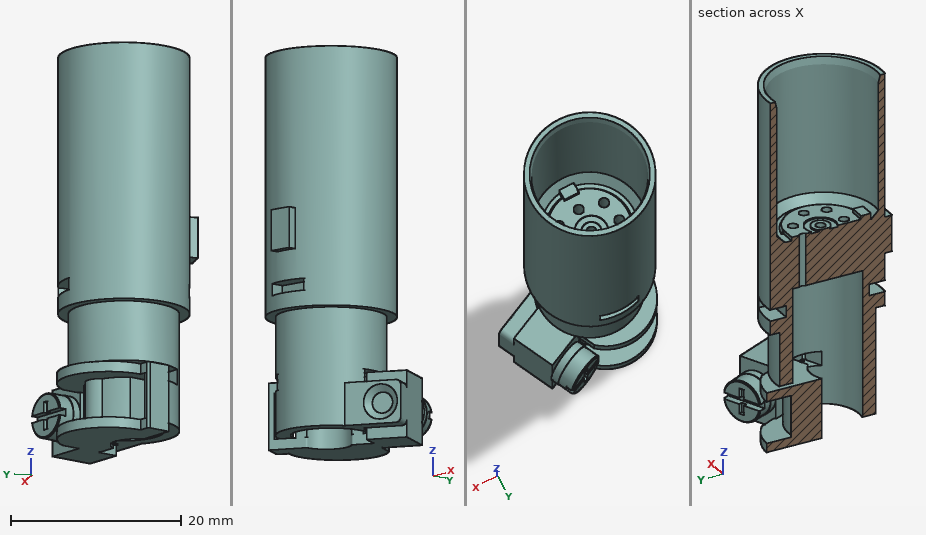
import cadquery as cq
import math

TOTAL_HEIGHT = 46.5
BARREL_RADIUS = 15.5 / 2
BARREL_BOTTOM = 15.55
NECK_RADIUS = 13.05 / 2
NECK_BOTTOM = 1.4
NECK_BORE_RADIUS = 4.75

MOUTH_RADIUS = 7.05
MOUTH_DEPTH = 0.95
SOCKET_RADIUS = 6.85
INSERT_TOP = 27.9
INSERT_BOTTOM = 20.92
INSERT_RADIUS = 5.75
FACE_RISE = 0.45
LEDGE = INSERT_TOP - FACE_RISE
FACE_RADIUS = 4.98
FACE_FOOT_RADIUS = 5.2
SOCKET_TAPER_TOP = LEDGE + SOCKET_RADIUS - INSERT_RADIUS
CONTACT_RADIUS = 0.6
CONTACT_CIRCLE_RADIUS = 3.65
CONTACT_ANGLES = (11.5, 67.5, 112.5, 168.5, 214.0, 326.0)
LOWEST_CONTACT_Y = -2.7
CENTRE_CONTACT_Y = 0.4
RING_OUTER_RADIUS = 2.0
RING_INNER_RADIUS = 1.2
RING_DEPTH = 0.2
KEY_WIDTH = 1.95
KEY_INNER_Y = -4.4
KEY_OUTER_Y = -INSERT_RADIUS
KEY_RISE = 0.45
KEY_TOP = INSERT_TOP + KEY_RISE
FLAT_Y = 4.85

PAD_WIDTH = 2.9
PAD_BOTTOM = 22.5
PAD_TOP = 27.4
PAD_FACE_Y = -8.6
NOTCH_BOTTOM = 17.45
NOTCH_TOP = 18.9
NOTCH_WIDTH = 5.15
NOTCH_FLOOR_Y = 5.6

CLAMP_ANGLE = 25.0
CLAMP_HEIGHT = 8.0
PLATE_THICKNESS = 1.25
GAP_BOTTOM = PLATE_THICKNESS
GAP_TOP = CLAMP_HEIGHT - PLATE_THICKNESS
GAP_MIDDLE = CLAMP_HEIGHT / 2
PLATE_LEFT_U = -7.55
PLATE_RIGHT_U = 10.5
PLATE_FRONT_V = -0.7
PLATE_BACK_V = 2.32
PLATE_DISC_RADIUS = 6.05
FOOT_LEFT_U = 5.55
FOOT_FRONT_V = -3.3
CABLE_RADIUS = 3.0
CABLE_V = -1.85
CABLE_EDGE_ROUND = 0.3
BAR_THICKNESS = 0.7
BAR_CHAMFER = 0.3
STRAP_RADIUS = 5.0
STRAP_V = -0.35
STRAP_HALF_WIDTH = 4.2
PILLAR_RADIUS = 1.67
PILLAR_V = 3.67

SCREW_U = 8.0
BOSS_RADIUS = 2.75
BOSS_BACK_V = 3.35
HEAD_RADIUS = 2.7
HEAD_BACK_V = 5.4
HEAD_CHAMFER = 0.15
SLOT_WIDTH = 0.85
SLOT_DEPTH = 0.95
CROSS_WIDTH = 0.65
CROSS_LENGTH = 3.35
CROSS_DEPTH = 0.45

SLOT_BOTTOM = 6.5
SLOT_TOP = 8.35
SLOT_END_V = -3.67
SHELL_END_V = 0.0
LUG_FRONT_V = -5.5
LUG_ROUND = 0.6
SINK_RADIUS = 2.1
SINK_FLOOR_RADIUS = 1.25
SINK_DEPTH = 0.75


def cylinder(radius, bottom, top, x=0, y=0):
    """Vertical cylinder between two heights."""
    return cq.Workplane("XY", origin=(x, y, bottom)).circle(radius).extrude(top - bottom)


def block(x_range, y_range, z_range):
    """Box given by its limits along each axis."""
    sizes = [high - low for low, high in (x_range, y_range, z_range)]
    corner = (x_range[0], y_range[0], z_range[0])
    return cq.Workplane("XY").box(*sizes, centered=False).translate(corner)


def screw_cylinder(radius, front_v, back_v):
    """Cylinder on the screw axis, growing toward +V."""
    plane = cq.Plane(origin=(SCREW_U, front_v, GAP_MIDDLE), xDir=(1, 0, 0), normal=(0, 1, 0))
    return cq.Workplane(plane).circle(radius).extrude(back_v - front_v)


def make_barrel():
    """Barrel, neck and insert as one turned shape."""
    profile = [
        (0, INSERT_TOP),
        (FACE_RADIUS, INSERT_TOP),
        (FACE_FOOT_RADIUS, LEDGE),
        (INSERT_RADIUS, LEDGE),
        (SOCKET_RADIUS, SOCKET_TAPER_TOP),
        (SOCKET_RADIUS, TOTAL_HEIGHT - MOUTH_DEPTH),
        (MOUTH_RADIUS, TOTAL_HEIGHT),
        (BARREL_RADIUS, TOTAL_HEIGHT),
        (BARREL_RADIUS, BARREL_BOTTOM),
        (NECK_RADIUS, BARREL_BOTTOM),
        (NECK_RADIUS, NECK_BOTTOM),
        (NECK_BORE_RADIUS, NECK_BOTTOM),
        (NECK_BORE_RADIUS, INSERT_BOTTOM),
        (0, INSERT_BOTTOM),
    ]
    return cq.Workplane("XZ").polyline(profile).close().revolve(360, (0, 0), (0, 1))


def add_insert_details(body):
    """Key, flat opposite it, contact holes and the ring groove round the centre contact."""
    half_key = KEY_WIDTH / 2
    body = body.union(block((-half_key, half_key), (KEY_OUTER_Y, KEY_INNER_Y), (LEDGE, KEY_TOP)))
    body = body.cut(block((-half_key, half_key), (FLAT_Y, FACE_FOOT_RADIUS), (LEDGE, INSERT_TOP)))

    ring = cylinder(RING_OUTER_RADIUS, INSERT_TOP - RING_DEPTH, INSERT_TOP, y=CENTRE_CONTACT_Y)
    ring = ring.cut(cylinder(RING_INNER_RADIUS, INSERT_TOP - RING_DEPTH, INSERT_TOP, y=CENTRE_CONTACT_Y))
    body = body.cut(ring)

    contacts = [(0, LOWEST_CONTACT_Y), (0, CENTRE_CONTACT_Y)]
    for angle in CONTACT_ANGLES:
        turn = math.radians(angle)
        contacts.append((CONTACT_CIRCLE_RADIUS * math.cos(turn), CONTACT_CIRCLE_RADIUS * math.sin(turn)))
    for x, y in contacts:
        body = body.cut(cylinder(CONTACT_RADIUS, INSERT_BOTTOM, INSERT_TOP, x, y))
    return body


def add_barrel_details(body):
    """Raised pad on the -Y side and a deep notch on the -Y and +Y sides."""
    half_pad = PAD_WIDTH / 2
    body = body.union(block((-half_pad, half_pad), (PAD_FACE_Y, -MOUTH_RADIUS), (PAD_BOTTOM, PAD_TOP)))
    across = (-NOTCH_WIDTH / 2, NOTCH_WIDTH / 2)
    body = body.cut(block(across, (NOTCH_FLOOR_Y, BARREL_RADIUS), (NOTCH_BOTTOM, NOTCH_TOP)))
    return body.cut(block(across, (-BARREL_RADIUS, -NOTCH_FLOOR_Y), (NOTCH_BOTTOM, NOTCH_TOP)))


def make_neck_cutout():
    """Slot across the neck and the open back of the shell below it (clamp frame)."""
    across = (-BARREL_RADIUS, BARREL_RADIUS)
    slot = block(across, (SLOT_END_V, BARREL_RADIUS), (SLOT_BOTTOM, SLOT_TOP))
    return slot.union(block(across, (SHELL_END_V, BARREL_RADIUS), (0, SLOT_BOTTOM)))


def make_lug():
    """Lug on the neck that takes the screw tip, with a conical sink (clamp frame)."""
    lug = block((0, PLATE_RIGHT_U), (LUG_FRONT_V, FOOT_FRONT_V), (NECK_BOTTOM, SLOT_BOTTOM))
    lug = lug.edges("|Y and >X").fillet(LUG_ROUND)
    lug = lug.cut(cylinder(NECK_BORE_RADIUS, NECK_BOTTOM, SLOT_BOTTOM))
    plane = cq.Plane(origin=(SCREW_U, LUG_FRONT_V, GAP_MIDDLE), xDir=(1, 0, 0), normal=(0, 1, 0))
    sink = (
        cq.Workplane(plane)
        .circle(SINK_RADIUS)
        .workplane(offset=SINK_DEPTH)
        .circle(SINK_FLOOR_RADIUS)
        .loft(ruled=True)
    )
    return lug.cut(sink)


def clamp_base(height):
    """Straight front part of the clamp: chamfered back left corner and screw foot."""
    outline = [
        (PLATE_LEFT_U, PLATE_FRONT_V),
        (FOOT_LEFT_U, PLATE_FRONT_V),
        (FOOT_LEFT_U, FOOT_FRONT_V),
        (PLATE_RIGHT_U, FOOT_FRONT_V),
        (PLATE_RIGHT_U, PLATE_BACK_V),
        (PLATE_LEFT_U + BAR_CHAMFER, PLATE_BACK_V),
        (PLATE_LEFT_U, PLATE_BACK_V - BAR_CHAMFER),
    ]
    return cq.Workplane("XY").polyline(outline).close().extrude(height)


def make_plate():
    """Clamp plate: straight front part with a half-round back and a rounded-edge cable arch."""
    plate = clamp_base(PLATE_THICKNESS)
    disc = cylinder(PLATE_DISC_RADIUS, 0, PLATE_THICKNESS, y=PLATE_BACK_V)
    behind = (PLATE_FRONT_V, PLATE_BACK_V + PLATE_DISC_RADIUS)
    disc = disc.intersect(block((-PLATE_DISC_RADIUS, FOOT_LEFT_U), behind, (0, PLATE_THICKNESS)))
    plate = plate.union(disc).cut(cylinder(CABLE_RADIUS, 0, PLATE_THICKNESS, y=CABLE_V))
    mouth = (-CABLE_RADIUS, PLATE_FRONT_V - CABLE_EDGE_ROUND, 0)
    mouth_end = (CABLE_RADIUS, PLATE_FRONT_V + CABLE_EDGE_ROUND, PLATE_THICKNESS)
    return plate.edges(cq.selectors.BoxSelector(mouth, mouth_end)).edges("|Z").fillet(CABLE_EDGE_ROUND)


def make_clamp():
    """Two plates joined by a bar, a cable strap with a round pillar and the screw leg (clamp frame)."""
    gap = (GAP_BOTTOM, GAP_TOP)
    plate = make_plate()
    bar_limits = block(
        (PLATE_LEFT_U, PLATE_LEFT_U + BAR_THICKNESS), (PLATE_FRONT_V, PLATE_BACK_V), (0, CLAMP_HEIGHT)
    )
    bar = clamp_base(CLAMP_HEIGHT).intersect(bar_limits)
    strap_width = (-STRAP_HALF_WIDTH, STRAP_HALF_WIDTH)
    strap = cylinder(STRAP_RADIUS, *gap, y=STRAP_V)
    strap = strap.intersect(block(strap_width, (PLATE_FRONT_V, STRAP_RADIUS), gap))
    strap = strap.union(cylinder(PILLAR_RADIUS, *gap, y=PILLAR_V))
    strap = strap.cut(cylinder(CABLE_RADIUS, *gap, y=CABLE_V))
    leg = block((SCREW_U - BOSS_RADIUS, PLATE_RIGHT_U), (FOOT_FRONT_V, PLATE_BACK_V), gap)

    clamp = plate.union(plate.translate((0, 0, GAP_TOP)))
    for member in (bar, strap, leg):
        clamp = clamp.union(member)
    return clamp


def make_screw():
    """Round boss on the clamp leg and the slotted screw head on it (clamp frame)."""
    boss = screw_cylinder(BOSS_RADIUS, PLATE_BACK_V, BOSS_BACK_V)
    head = screw_cylinder(HEAD_RADIUS, BOSS_BACK_V, HEAD_BACK_V).faces(">Y").chamfer(HEAD_CHAMFER)
    slot = block(
        (SCREW_U - BOSS_RADIUS, SCREW_U + BOSS_RADIUS),
        (HEAD_BACK_V - SLOT_DEPTH, HEAD_BACK_V),
        (GAP_MIDDLE - SLOT_WIDTH / 2, GAP_MIDDLE + SLOT_WIDTH / 2),
    )
    cross = block(
        (SCREW_U - CROSS_WIDTH / 2, SCREW_U + CROSS_WIDTH / 2),
        (HEAD_BACK_V - CROSS_DEPTH, HEAD_BACK_V),
        (GAP_MIDDLE - CROSS_LENGTH / 2, GAP_MIDDLE + CROSS_LENGTH / 2),
    )
    return boss.union(head.cut(slot).cut(cross))


def from_clamp_frame(shape):
    """Turn a shape from the clamp frame into place on the neck."""
    return shape.rotate((0, 0, 0), (0, 0, 1), CLAMP_ANGLE)


body = add_barrel_details(add_insert_details(make_barrel()))
body = body.cut(from_clamp_frame(make_neck_cutout()))
body = body.union(from_clamp_frame(make_lug()))
result = body.union(from_clamp_frame(make_clamp().union(make_screw())))